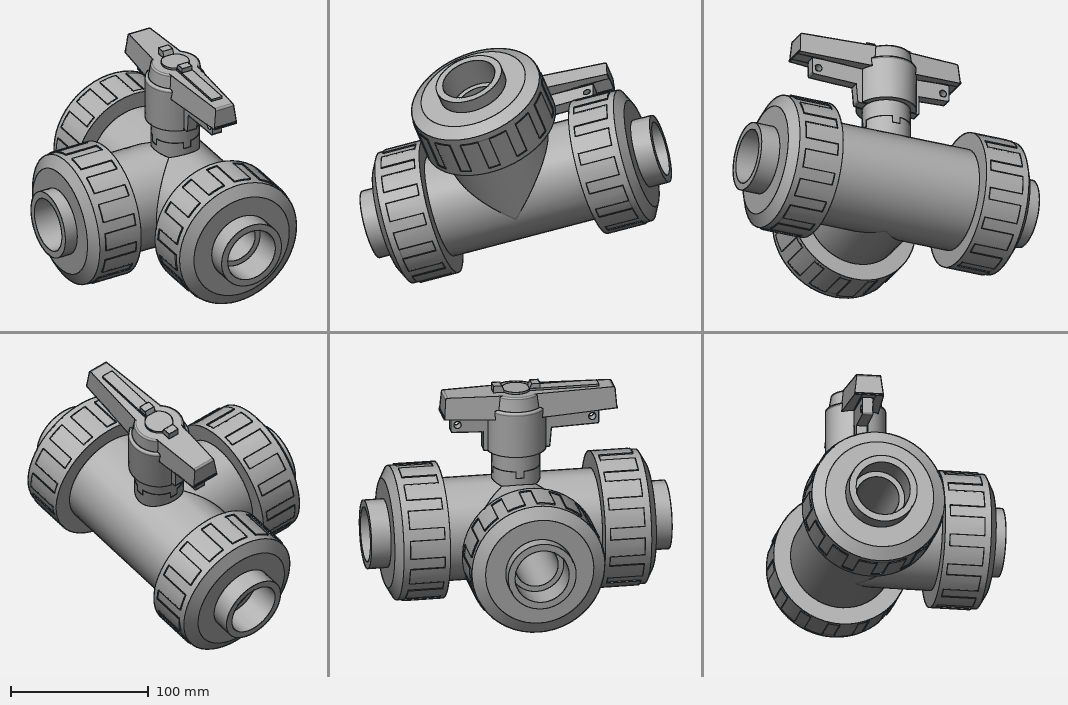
import cadquery as cq
import math

RUN_LENGTH = 222.0
RUN_REACH = RUN_LENGTH / 2
BRANCH_REACH = 106.5

BODY_RADIUS = 37.5
PIPE_RADIUS = 25.0
SOCKET_RADIUS = 20.0
SOCKET_DEPTH = 22.2
BORE_RADIUS = 15.87

NUT_RADIUS = 50.0
NUT_INNER_FACE = 57.3
NUT_OUTER_FACE = 96.5
NUT_FACE_RADIUS = 40.0
NUT_CHAMFER_START = 91.5
GRIP_OUTER_END = 86.5
GRIP_INNER_END = 61.0
GRIP_DEPTH = 0.9
GRIP_CUT_MARGIN = 2.2
GRIP_COUNT = 14
GRIP_PITCH = 360 / GRIP_COUNT
GRIP_GAP_SPAN = 10.0
GRIP_PHASE = 5.2
BAND_RADIUS = NUT_RADIUS - GRIP_DEPTH

STEM_RADIUS = 17.5
STEM_TOP = 77.3
COLLAR_RADIUS = 17.8
COLLAR_TOP = 47.7
COLLAR_NOTCH_WIDTH = 6.0
COLLAR_NOTCH_HEIGHT = 5.0

HUB_RADIUS = 22.0
HUB_BOTTOM = 60.5
HUB_SHOULDER = 94.8
HUB_FILLET = 2.0
CONE_BASE_RADIUS = 19.5
CONE_TOP_RADIUS = 17.8
CONE_FILLET = 1.3

LEVER_TOP = 105.2
LEVER_ROOT_BOTTOM = 86.8
LEVER_TIP_BOTTOM = 89.2
LEVER_SHORT_TIP = -54.6
LEVER_LONG_TIP = 73.3
LEVER_HALF_WIDTH = 14.9
LEVER_TAPER = 0.07
LEVER_SIDE_DRAFT = 2.5
LEVER_END_DRAFT = 1.3
LEVER_TIP_FILLET = 1.5
LIP_TOP = 90.8
LIP_SHOULDER = 90.1
LIP_REACH = 0.5

WEB_HALF_THICKNESS = 3.88
WEB_SLOT_HALF_WIDTH = 5.0
WEB_SHORT_TIP = -48.5
WEB_LONG_TIP = 60.5
WEB_TIP_BOTTOM = 76.4
WEB_ROOT_BOTTOM = 75.3
STOP_HALF_LENGTH = 24.5
STOP_DRAFT = 1.3
WEB_CORNER_FILLET = 1.0
WEB_HOLE_RADIUS = 2.7
WEB_HOLE_INSET = 4.77
WEB_HOLE_Z = 82.0

PAD_TOP = 106.8
DISC_RADIUS = 10.2
STRIP_HALF_WIDTH = 4.5
LUG_TOP = 110.3
LUG_HALF_WIDTH = 4.1
LUG_OUTER = 17.2
LUG_TOP_INNER = 11.0
LUG_FOOT_INNER = 9.3


def revolve_profile(points):
    """Revolve (radius, height) points about the Z axis."""
    profile = cq.Workplane("XZ").polyline(points).close()
    return profile.revolve(360, (0, 0, 0), (0, 1, 0))


def polar(radius, degrees):
    """Point at a radius and an angle in the XY plane."""
    turn = math.radians(degrees)
    return (radius * math.cos(turn), radius * math.sin(turn))


def make_grip_recesses():
    """Ring of shallow recesses, made from an annulus split by wedges that keep the pads."""
    base = cq.Workplane("XY", origin=(0, 0, GRIP_INNER_END))
    height = GRIP_OUTER_END - GRIP_INNER_END
    inner = BAND_RADIUS - GRIP_CUT_MARGIN
    outer = NUT_RADIUS + GRIP_CUT_MARGIN
    recesses = base.circle(outer).circle(BAND_RADIUS).extrude(height)
    for index in range(GRIP_COUNT):
        start = GRIP_PHASE + index * GRIP_PITCH + GRIP_GAP_SPAN / 2
        end = start + GRIP_PITCH - GRIP_GAP_SPAN
        wedge = base.polyline([
            polar(inner, start),
            polar(2 * outer, start),
            polar(2 * outer, end),
            polar(inner, end),
        ])
        recesses = recesses.cut(wedge.close().extrude(height))
    return recesses


def make_nut_and_pipe(reach):
    """Union nut and tail pipe along +Z."""
    grip = (
        cq.Workplane("XY", origin=(0, 0, NUT_INNER_FACE))
        .circle(NUT_RADIUS)
        .extrude(GRIP_OUTER_END - NUT_INNER_FACE)
    )
    cap_and_pipe = revolve_profile([
        (0, GRIP_OUTER_END),
        (BAND_RADIUS, GRIP_OUTER_END),
        (BAND_RADIUS, NUT_CHAMFER_START),
        (NUT_FACE_RADIUS, NUT_OUTER_FACE),
        (PIPE_RADIUS, NUT_OUTER_FACE),
        (PIPE_RADIUS, reach),
        (0, reach),
    ])
    return grip.cut(make_grip_recesses()).union(cap_and_pipe)


def make_body():
    """Tee of equal cylinders with the stem and its notched collar at their crossing."""
    run = cq.Workplane("YZ").circle(BODY_RADIUS).extrude(NUT_INNER_FACE, both=True)
    branch = cq.Workplane("XZ").circle(BODY_RADIUS).extrude(NUT_INNER_FACE)
    stem = cq.Workplane("XY").circle(STEM_RADIUS).extrude(STEM_TOP)
    collar = cq.Workplane("XY").circle(COLLAR_RADIUS).extrude(COLLAR_TOP)
    notch_plane = cq.Workplane("XY", origin=(0, 0, COLLAR_TOP - COLLAR_NOTCH_HEIGHT))
    for length, width in [
        (2 * COLLAR_RADIUS, COLLAR_NOTCH_WIDTH),
        (COLLAR_NOTCH_WIDTH, 2 * COLLAR_RADIUS),
    ]:
        collar = collar.cut(notch_plane.rect(length, width).extrude(COLLAR_NOTCH_HEIGHT))
    return run.union(branch).union(collar.union(stem))


def make_port_bore(reach):
    """Through bore from the origin and the wider pipe socket along +Z."""
    bore = cq.Workplane("XY").circle(BORE_RADIUS).extrude(reach)
    socket = (
        cq.Workplane("XY", origin=(0, 0, reach - SOCKET_DEPTH))
        .circle(SOCKET_RADIUS)
        .extrude(SOCKET_DEPTH)
    )
    return bore.union(socket)


def aim(shape, heading):
    """Lay a +Z shape onto +X, then turn it about Z to the heading in degrees."""
    return shape.rotate((0, 0, 0), (0, 1, 0), 90).rotate((0, 0, 0), (0, 0, 1), heading)


def lever_outline(z, side_inset, end_inset):
    """Six-sided plan of the lever, widest at the stem axis."""
    short_tip = LEVER_SHORT_TIP + end_inset
    long_tip = LEVER_LONG_TIP - end_inset
    root = LEVER_HALF_WIDTH - side_inset
    short_half = root + LEVER_TAPER * short_tip
    long_half = root - LEVER_TAPER * long_tip
    corners = [
        (short_tip, -short_half, z),
        (0, -root, z),
        (long_tip, -long_half, z),
        (long_tip, long_half, z),
        (0, root, z),
        (short_tip, short_half, z),
    ]
    return cq.Wire.makePolygon([cq.Vector(*corner) for corner in corners], close=True)


def make_tip_lip(tip):
    """Small flared lip along the lower edge of the lever end at X = tip."""
    outward = math.copysign(1, tip)
    rise = (LIP_TOP - LEVER_ROOT_BOTTOM) / (LEVER_TOP - LEVER_ROOT_BOTTOM)
    face_at_lip_top = tip - outward * LEVER_END_DRAFT * rise
    half_width = LEVER_HALF_WIDTH - LEVER_SIDE_DRAFT * rise - LEVER_TAPER * abs(tip)
    return (
        cq.Workplane("XZ")
        .polyline([
            (tip - outward * LEVER_END_DRAFT, LEVER_TIP_BOTTOM),
            (tip - outward * LEVER_END_DRAFT, LIP_TOP),
            (face_at_lip_top, LIP_TOP),
            (face_at_lip_top + outward * LIP_REACH, LIP_SHOULDER),
            (face_at_lip_top + outward * LIP_REACH, LEVER_TIP_BOTTOM),
        ])
        .close()
        .extrude(half_width, both=True)
    )


def make_lever():
    """Drafted lever whose underside rises from the stem toward both tips."""
    lever = cq.Workplane(cq.Solid.makeLoft([
        lever_outline(LEVER_ROOT_BOTTOM, 0, 0),
        lever_outline(LEVER_TOP, LEVER_SIDE_DRAFT, LEVER_END_DRAFT),
    ], True))
    lever = lever.faces(">Z").edges("|Y").fillet(LEVER_TIP_FILLET)
    underside = (
        cq.Workplane("XZ")
        .polyline([
            (LEVER_SHORT_TIP, LEVER_ROOT_BOTTOM),
            (LEVER_SHORT_TIP, LEVER_TIP_BOTTOM),
            (0, LEVER_ROOT_BOTTOM),
            (LEVER_LONG_TIP, LEVER_TIP_BOTTOM),
            (LEVER_LONG_TIP, LEVER_ROOT_BOTTOM),
        ])
        .close()
        .extrude(LEVER_HALF_WIDTH, both=True)
    )
    lever = lever.cut(underside)
    return lever.union(make_tip_lip(LEVER_SHORT_TIP)).union(make_tip_lip(LEVER_LONG_TIP))


def make_hub():
    """Cylindrical hub with a rounded shoulder and a conical crown."""
    skirt = (
        cq.Workplane("XY", origin=(0, 0, HUB_BOTTOM))
        .circle(HUB_RADIUS)
        .extrude(HUB_SHOULDER - HUB_BOTTOM)
        .faces(">Z").edges().fillet(HUB_FILLET)
    )
    crown = revolve_profile([
        (0, HUB_SHOULDER),
        (CONE_BASE_RADIUS, HUB_SHOULDER),
        (CONE_TOP_RADIUS, LEVER_TOP),
        (0, LEVER_TOP),
    ]).faces(">Z").edges().fillet(CONE_FILLET)
    return skirt.union(crown)


def make_web():
    """Thin web under the lever with a locking hole at each tip and stops beside the hub."""
    web = (
        cq.Workplane("XZ")
        .polyline([
            (WEB_SHORT_TIP, LEVER_TIP_BOTTOM),
            (WEB_SHORT_TIP, WEB_TIP_BOTTOM),
            (-STOP_HALF_LENGTH, WEB_ROOT_BOTTOM),
            (-STOP_HALF_LENGTH, HUB_BOTTOM),
            (STOP_HALF_LENGTH, HUB_BOTTOM),
            (STOP_HALF_LENGTH + STOP_DRAFT, WEB_ROOT_BOTTOM),
            (WEB_LONG_TIP, WEB_TIP_BOTTOM),
            (WEB_LONG_TIP, LEVER_TIP_BOTTOM),
        ])
        .close()
        .extrude(WEB_HALF_THICKNESS, both=True)
    )
    rounded_corners = [
        (WEB_SHORT_TIP, WEB_TIP_BOTTOM),
        (-STOP_HALF_LENGTH, HUB_BOTTOM),
        (STOP_HALF_LENGTH, HUB_BOTTOM),
        (WEB_LONG_TIP, WEB_TIP_BOTTOM),
    ]
    for x, z in rounded_corners:
        corner = cq.selectors.NearestToPointSelector((x, 0, z))
        web = web.edges("|Y").edges(corner).fillet(WEB_CORNER_FILLET)
    holes = (
        cq.Workplane("XZ")
        .pushPoints([
            (WEB_SHORT_TIP + WEB_HOLE_INSET, WEB_HOLE_Z),
            (WEB_LONG_TIP - WEB_HOLE_INSET, WEB_HOLE_Z),
        ])
        .circle(WEB_HOLE_RADIUS)
        .extrude(WEB_HALF_THICKNESS, both=True)
    )
    return web.cut(holes)


def make_web_slot():
    """Clearance slot through the hub, leaving a narrow gap on both sides of the web."""
    return cq.Workplane("XY").box(
        LEVER_LONG_TIP - LEVER_SHORT_TIP,
        2 * WEB_SLOT_HALF_WIDTH,
        LEVER_TIP_BOTTOM - HUB_BOTTOM,
    ).translate((
        (LEVER_LONG_TIP + LEVER_SHORT_TIP) / 2,
        0,
        (LEVER_TIP_BOTTOM + HUB_BOTTOM) / 2,
    ))


def make_lug():
    """Indicator lug on the +X side, sloped toward the disc."""
    return (
        cq.Workplane("XZ")
        .polyline([
            (LUG_FOOT_INNER, LEVER_TOP),
            (LUG_OUTER, LEVER_TOP),
            (LUG_OUTER, LUG_TOP),
            (LUG_TOP_INNER, LUG_TOP),
            (LUG_FOOT_INNER, PAD_TOP),
        ])
        .close()
        .extrude(LUG_HALF_WIDTH, both=True)
    )


def make_indicator():
    """Raised disc and label strip with a lug on each side of the disc."""
    pad_height = PAD_TOP - LEVER_TOP
    top_plane = cq.Workplane("XY", origin=(0, 0, LEVER_TOP))
    disc = top_plane.circle(DISC_RADIUS).extrude(pad_height)
    strip = (
        top_plane.center(WEB_LONG_TIP / 2, 0)
        .rect(WEB_LONG_TIP, 2 * STRIP_HALF_WIDTH)
        .extrude(pad_height)
    )
    lug = make_lug()
    return disc.union(strip).union(lug).union(lug.mirror("YZ"))


PORTS = [(RUN_REACH, 0), (RUN_REACH, 180), (BRANCH_REACH, -90)]

valve = make_body()
for port_reach, port_heading in PORTS:
    valve = valve.union(aim(make_nut_and_pipe(port_reach), port_heading))
for port_reach, port_heading in PORTS:
    valve = valve.cut(aim(make_port_bore(port_reach), port_heading))

handle = make_hub().union(make_lever()).cut(make_web_slot())
handle = handle.union(make_web()).union(make_indicator())

result = valve.union(handle)